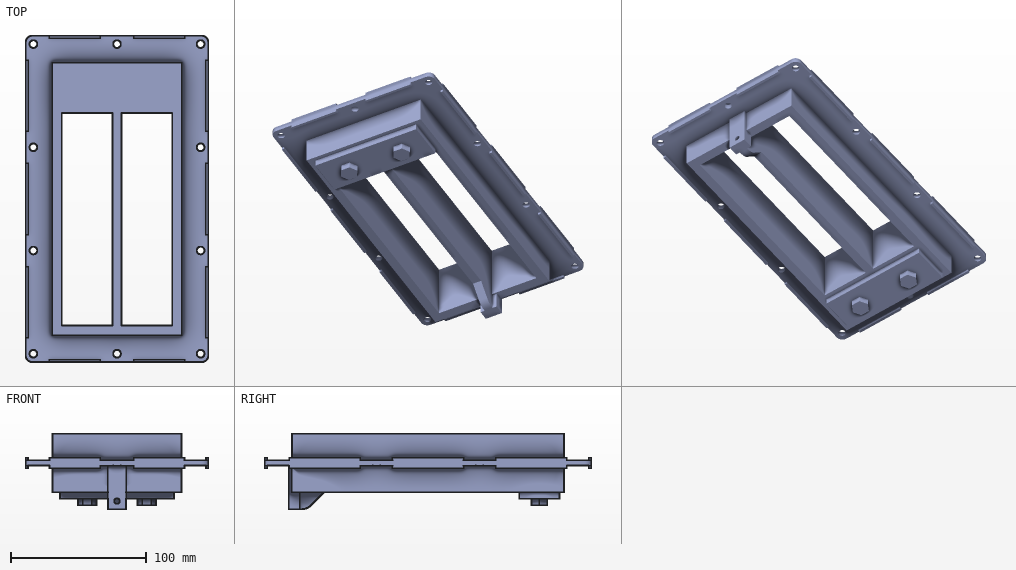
import cadquery as cq

PLATE_X = 135.0
PLATE_Y = 241.0
PLATE_THICK = 4.0
CORNER_RADIUS = 5.0

HOLE_DIA = 5.5
HOLE_X = 61.7
HOLE_PITCH_Y = 76.2
HOLE_ROWS = 4

LIP_HEIGHT = 8.0
LIP_WIDTH = 2.0
SIDE_LIP_LENGTH = 52.5
END_LIP_LENGTH = 37.5
END_LIP_X = 31.0

BODY_X = 95.5
BODY_Y = 201.0
BODY_HEIGHT = 43.5

WINDOW_X = 37.4
WINDOW_Y = 156.6
WINDOW_BAR = 6.7
WINDOW_CENTRE_Y = -15.0

PAD_X = 84.4
PAD_Y = 30.0
PAD_THICK = 4.8
PAD_CENTRE_Y = 82.2
HEX_DIA = 13.7
HEX_HEIGHT = 4.8
HEX_X = 22.0

LUG_WIDTH = 13.5
LUG_PROUD = 2.5
LUG_THICK = 8.2
LUG_DROP = 12.5
GUSSET_WIDTH = WINDOW_BAR
GUSSET_FOOT_LENGTH = 5.5
GUSSET_RADIUS = 10.0
PIN_HOLE_DIA = 4.0
PIN_HOLE_RISE = 6.0

BODY_BOTTOM = -BODY_HEIGHT / 2
BODY_FRONT = -BODY_Y / 2


def make_box(size_x, size_y, z_low, z_high, x=0.0, y=0.0):
    """Upright block centred on (x, y) between two heights."""
    block = cq.Workplane("XY", origin=(x, y, z_low)).rect(size_x, size_y)
    return block.extrude(z_high - z_low)


def make_plate():
    half = PLATE_THICK / 2
    return make_box(PLATE_X, PLATE_Y, -half, half).edges("|Z").fillet(CORNER_RADIUS)


def make_lips():
    half = LIP_HEIGHT / 2
    side_x = (PLATE_X - LIP_WIDTH) / 2
    end_y = (PLATE_Y - LIP_WIDTH) / 2
    lips = cq.Workplane("XY")
    for sign in (-1, 1):
        for step in (-1, 0, 1):
            lips = lips.add(
                make_box(LIP_WIDTH, SIDE_LIP_LENGTH, -half, half, sign * side_x, step * HOLE_PITCH_Y)
            )
        for x in (-END_LIP_X, END_LIP_X):
            lips = lips.add(make_box(END_LIP_LENGTH, LIP_WIDTH, -half, half, x, sign * end_y))
    return lips.combine()


def make_windows():
    spacing = WINDOW_X + WINDOW_BAR
    windows = cq.Workplane("XY", origin=(0, WINDOW_CENTRE_Y, 0)).rarray(spacing, 2.5, 2, 1)
    return windows.rect(WINDOW_X, WINDOW_Y).extrude(BODY_HEIGHT, both=True)


def make_screw_holes():
    last_y = HOLE_PITCH_Y * (HOLE_ROWS - 1) / 2
    rows = [last_y - HOLE_PITCH_Y * row for row in range(HOLE_ROWS)]
    points = [(x, y) for x in (-HOLE_X, HOLE_X) for y in rows]
    points += [(0, last_y), (0, -last_y)]
    return cq.Workplane("XY").pushPoints(points).circle(HOLE_DIA / 2).extrude(PLATE_THICK, both=True)


def make_pad():
    pad_bottom = BODY_BOTTOM - PAD_THICK
    pad = make_box(PAD_X, PAD_Y, pad_bottom, BODY_BOTTOM, y=PAD_CENTRE_Y)
    heads = cq.Workplane("XY", origin=(0, PAD_CENTRE_Y, pad_bottom)).rarray(2 * HEX_X, 2.5, 2, 1)
    return pad.union(heads.polygon(6, HEX_DIA).extrude(-HEX_HEIGHT))


def make_lug():
    front = BODY_FRONT - LUG_PROUD
    back = front + LUG_THICK
    bottom = BODY_BOTTOM - LUG_DROP
    profile = [
        (front, -PLATE_THICK / 2),
        (front, bottom),
        (back, bottom),
        (back, BODY_BOTTOM),
        (BODY_FRONT, BODY_BOTTOM),
        (BODY_FRONT, -PLATE_THICK / 2),
    ]
    lug = cq.Workplane("YZ").polyline(profile).close().extrude(LUG_WIDTH / 2, both=True)
    pin_hole = cq.Workplane("XZ", origin=(0, front, bottom + PIN_HOLE_RISE))
    lug = lug.cut(pin_hole.circle(PIN_HOLE_DIA / 2).extrude(-LUG_THICK))

    foot = back + GUSSET_FOOT_LENGTH
    gusset_profile = [(back, BODY_BOTTOM), (back, bottom), (foot, bottom), (foot + LUG_DROP, BODY_BOTTOM)]
    gusset = cq.Workplane("YZ").polyline(gusset_profile).close().extrude(GUSSET_WIDTH / 2, both=True)
    lower_corner = cq.selectors.NearestToPointSelector((0, foot, bottom))
    gusset = gusset.edges("|X").edges(lower_corner).fillet(GUSSET_RADIUS)
    return lug.union(gusset)


body = make_box(BODY_X, BODY_Y, BODY_BOTTOM, -BODY_BOTTOM)
result = make_plate().union(make_lips()).union(body)
result = result.cut(make_windows()).cut(make_screw_holes())
result = result.union(make_pad()).union(make_lug())